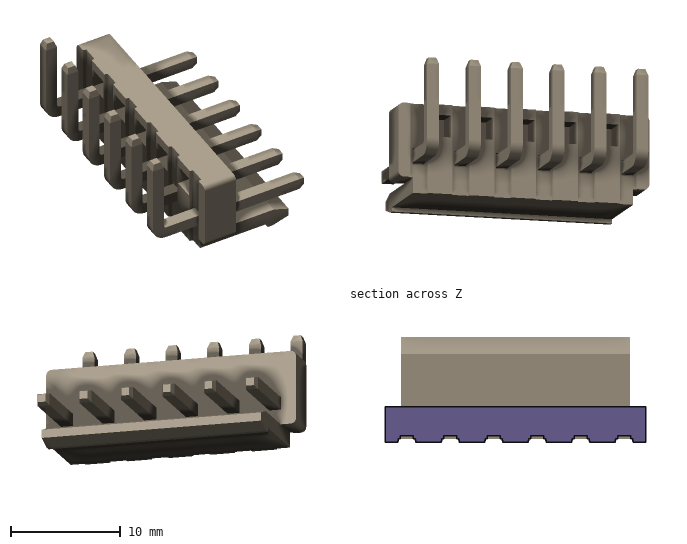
import cadquery as cq


pin_count = 6
pitch = 3.96
pin_size = 1.14
tip_size = 0.72
tip_length = 0.6
pin_axis_z = 3.78
tail_top_z = 12.1
tail_reach = 4.64
mating_reach = 8.02
bend_inner_radius = 0.24
bend_outer_radius = bend_inner_radius + pin_size

housing_width = pin_count * pitch
housing_depth = 3.28
housing_bottom_z = 1.81
housing_top_z = 8.68
housing_corner_radius = 0.5

latch_width = 20.86
latch_bottom_z = 0.4
latch_reach = 6.32
nose_bottom_z = 0.5
nose_top_z = 1.28
nose_ramp_length = 1.55
hook_ramp_length = 1.65
hook_flat_length = 0.55

channel_mouth_width = 1.65
channel_floor_width = 1.48
channel_depth = 0.31

relief_clearance = 0.16
relief_depth = 0.3

pocket_size = 2.03
pocket_depth = 2.3
pocket_top_margin = 0.97

pin_positions = [(i - (pin_count - 1) / 2) * pitch for i in range(pin_count)]
pocket_positions = [x + pitch / 2 for x in pin_positions[:-1]]


def box_between(width, y_start, y_end, z_start, z_end):
    """Box centred on X = 0 that spans the given Y and Z ranges."""
    return (
        cq.Workplane("XY")
        .box(width, y_end - y_start, z_end - z_start, centered=(True, False, False))
        .translate((0, y_start, z_start))
    )


def make_housing():
    block = box_between(housing_width, 0, housing_depth, housing_bottom_z, housing_top_z)
    return block.edges("|Y").fillet(housing_corner_radius)


def make_latch():
    """Plate with a ramped nose and a downward hook at its free end."""
    nose_y = housing_depth + latch_reach
    hook_start_y = nose_y - hook_ramp_length
    hook_end_y = hook_start_y - hook_flat_length
    return (
        cq.Workplane("YZ")
        .moveTo(0, latch_bottom_z)
        .lineTo(hook_end_y, latch_bottom_z)
        .lineTo(hook_end_y, 0)
        .lineTo(hook_start_y, 0)
        .lineTo(nose_y, nose_bottom_z)
        .lineTo(nose_y, nose_top_z)
        .lineTo(nose_y - nose_ramp_length, housing_bottom_z)
        .lineTo(0, housing_bottom_z)
        .close()
        .extrude(latch_width / 2, both=True)
    )


def make_channel():
    """Cutter for one channel, open at the top of the housing and the bottom of the latch plate."""
    mouth = channel_mouth_width / 2
    floor = channel_floor_width / 2
    return (
        cq.Workplane("XY")
        .polyline([(-mouth, 0), (mouth, 0), (floor, channel_depth), (-floor, channel_depth)])
        .close()
        .extrude(housing_top_z)
    )


def make_relief():
    half_height = pin_size / 2 + relief_clearance
    return box_between(
        pin_size,
        channel_depth,
        channel_depth + relief_depth,
        pin_axis_z - half_height,
        pin_axis_z + half_height,
    )


def make_pocket():
    top_z = housing_top_z - pocket_top_margin
    return box_between(pocket_size, 0, pocket_depth, top_z - pocket_size, top_z)


def make_tip():
    """Square pyramid frustum standing on Z = 0."""
    return (
        cq.Workplane("XY")
        .rect(pin_size, pin_size)
        .workplane(offset=tip_length)
        .rect(tip_size, tip_size)
        .loft(ruled=True)
    )


def make_pin():
    """L-shaped square pin with a rounded bend and tapered ends."""
    bottom_z = pin_axis_z - pin_size / 2
    top_z = pin_axis_z + pin_size / 2
    tail_outer_y = -tail_reach
    tail_inner_y = tail_outer_y + pin_size
    mating_end_y = housing_depth + mating_reach - tip_length
    tail_end_z = tail_top_z - tip_length
    bar = (
        cq.Workplane("YZ")
        .moveTo(mating_end_y, bottom_z)
        .lineTo(tail_outer_y + bend_outer_radius, bottom_z)
        .radiusArc((tail_outer_y, bottom_z + bend_outer_radius), bend_outer_radius)
        .lineTo(tail_outer_y, tail_end_z)
        .lineTo(tail_inner_y, tail_end_z)
        .lineTo(tail_inner_y, top_z + bend_inner_radius)
        .radiusArc((tail_inner_y + bend_inner_radius, top_z), -bend_inner_radius)
        .lineTo(mating_end_y, top_z)
        .close()
        .extrude(pin_size / 2, both=True)
    )
    tail_tip = make_tip().translate((0, tail_outer_y + pin_size / 2, tail_end_z))
    mating_tip = make_tip().rotate((0, 0, 0), (1, 0, 0), -90).translate((0, mating_end_y, pin_axis_z))
    return bar.union(tail_tip).union(mating_tip)


body = make_housing().union(make_latch())

for x in pin_positions:
    body = body.cut(make_channel().translate((x, 0, 0)))
    body = body.cut(make_relief().translate((x, 0, 0)))

for x in pocket_positions:
    body = body.cut(make_pocket().translate((x, 0, 0)))

for x in pin_positions:
    body = body.union(make_pin().translate((x, 0, 0)))

result = body